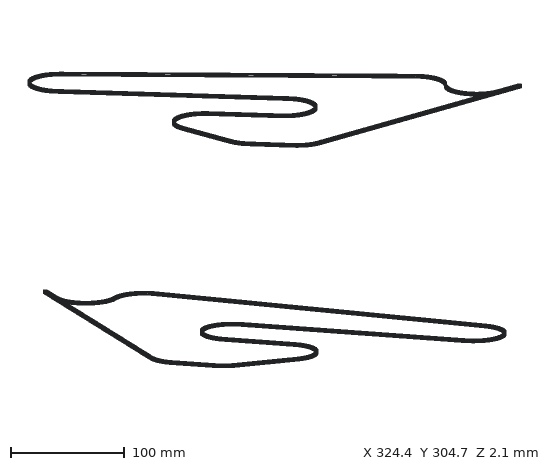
import cadquery as cq
import math

overall_x = 324.35
overall_y = 304.68
belt_height = 2.1
belt_thickness = 1.12

bend_radius = 27.48
outer_radius = bend_radius + belt_thickness / 2

left_x = -overall_x / 2 + outer_radius
right_x = overall_x / 2 - outer_radius
lower_y = -overall_y / 2 + outer_radius

outer_strand_x = right_x + bend_radius
inner_strand_x = outer_strand_x - belt_thickness
tail_end_y = overall_y / 2

upper_right_bend = (inner_strand_x - bend_radius, 126.37)
s_curve_angle = math.radians(222.66)
top_bend = (
    upper_right_bend[0] + 2 * bend_radius * math.cos(s_curve_angle),
    upper_right_bend[1] + 2 * bend_radius * math.sin(s_curve_angle),
)

lower_left_bend = (left_x, lower_y)
middle_bend = (60.9, -41.15)
inner_lower_bend = (44.03, lower_y)
outer_lower_bend = (102.86, lower_y)
lower_right_bend = (right_x, -100.31)

COUNTER_CLOCKWISE = 1
CLOCKWISE = -1
bends = [
    (upper_right_bend, CLOCKWISE),
    (top_bend, COUNTER_CLOCKWISE),
    (lower_left_bend, COUNTER_CLOCKWISE),
    (middle_bend, CLOCKWISE),
    (inner_lower_bend, COUNTER_CLOCKWISE),
    (outer_lower_bend, COUNTER_CLOCKWISE),
    (lower_right_bend, COUNTER_CLOCKWISE),
]

strand_angle = 0.0

shortest_straight = 0.001


def point_on_bend(centre, angle):
    """Point on the belt middle line at the given angle around a bend."""
    return (
        centre[0] + bend_radius * math.cos(angle),
        centre[1] + bend_radius * math.sin(angle),
    )


def tangent_angles(first_bend, second_bend):
    """Angles at which the belt leaves one bend and joins the next along their shared tangent."""
    (first_x, first_y), first_turn = first_bend
    (second_x, second_y), second_turn = second_bend
    distance = math.hypot(second_x - first_x, second_y - first_y)
    centre_heading = math.atan2(second_y - first_y, second_x - first_x)
    sideways_step = (second_turn - first_turn) * bend_radius / distance
    heading = centre_heading - math.asin(max(-1.0, min(1.0, sideways_step)))
    leave_angle = heading - first_turn * math.pi / 2
    join_angle = heading - second_turn * math.pi / 2
    return leave_angle, join_angle


def add_bend(path, bend, join_angle, leave_angle):
    """Extend the path around one bend in its turning direction."""
    centre, turn = bend
    sweep = turn * ((turn * (leave_angle - join_angle)) % (2 * math.pi))
    middle = point_on_bend(centre, join_angle + sweep / 2)
    return path.threePointArc(middle, point_on_bend(centre, leave_angle))


def belt_loop():
    """Belt swept around all bends, from the foot of the inner strand to the foot of the outer strand."""
    join_angle = strand_angle
    start = point_on_bend(upper_right_bend, join_angle)
    path = cq.Workplane("XY").moveTo(*start)
    for bend, next_bend in zip(bends, bends[1:]):
        leave_angle, next_join_angle = tangent_angles(bend, next_bend)
        path = add_bend(path, bend, join_angle, leave_angle)
        leave_point = point_on_bend(bend[0], leave_angle)
        join_point = point_on_bend(next_bend[0], next_join_angle)
        if math.dist(leave_point, join_point) > shortest_straight:
            path = path.lineTo(*join_point)
        join_angle = next_join_angle
    path = add_bend(path, bends[-1], join_angle, strand_angle)

    section = cq.Workplane("XZ", origin=(start[0], start[1], 0)).rect(belt_thickness, belt_height)
    return section.sweep(path)


def strand(middle_x, foot_y):
    """Straight strand along Y from its foot up to the end of the tail."""
    length = tail_end_y - foot_y
    middle_y = foot_y + length / 2
    return cq.Workplane("XY").box(belt_thickness, length, belt_height).translate((middle_x, middle_y, 0))


inner_strand = strand(inner_strand_x, upper_right_bend[1])
outer_strand = strand(outer_strand_x, lower_right_bend[1])

result = belt_loop().union(inner_strand).union(outer_strand).clean()